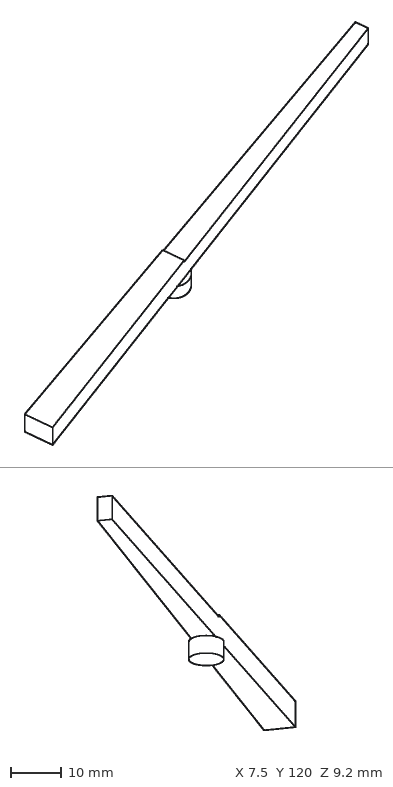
import cadquery as cq

bar_length = 120.0
rear_length = 70.0
front_length = bar_length - rear_length
front_width = 6.5
rear_width = 3.0
front_height = 5.5
top_step = 0.5

pin_diameter = 7.0
pin_height = 3.7
total_width = 7.5

pin_overhang = total_width - front_width
bar_side_x = pin_diameter / 2 - pin_overhang


def make_bar():
    """Cut a stepped side profile to the tapered plan outline."""
    plan = (
        cq.Workplane("XY")
        .polyline([
            (bar_side_x, -front_length),
            (bar_side_x, rear_length),
            (bar_side_x - rear_width, rear_length),
            (bar_side_x - front_width, -front_length),
        ])
        .close()
        .extrude(front_height)
    )
    side_profile = (
        cq.Workplane("YZ")
        .workplane(offset=bar_side_x - front_width)
        .polyline([
            (-front_length, 0),
            (rear_length, 0),
            (rear_length, front_height - top_step),
            (0, front_height - top_step),
            (0, front_height),
            (-front_length, front_height),
        ])
        .close()
        .extrude(front_width)
    )
    return plan.intersect(side_profile)


def make_pin():
    """Plain cylinder with its top face against the underside of the bar."""
    return cq.Workplane("XY").circle(pin_diameter / 2).extrude(-pin_height)


bar = make_bar()
pin = make_pin()

result = cq.Compound.makeCompound([bar.val(), pin.val()])